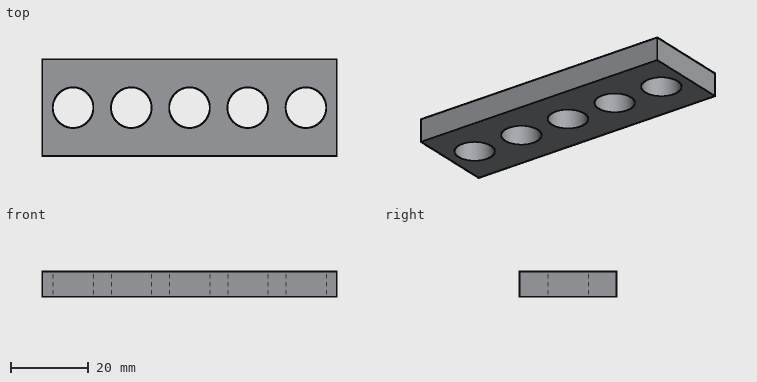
import cadquery as cq

length = 76.0
width = 25.0
thickness = 6.6

hole_count = 5
hole_diameter = 10.41
hole_pitch = 15.0


def make_plate():
    """Rectangular plate centred in X and Y, resting on Z = 0."""
    return cq.Workplane("XY").box(length, width, thickness, centered=(True, True, False))


def cut_hole_row(plate):
    """Cut the evenly spaced through holes along the X centreline."""
    return (
        plate.faces(">Z")
        .workplane()
        .rarray(hole_pitch, 1, hole_count, 1)
        .hole(hole_diameter)
    )


result = cut_hole_row(make_plate())